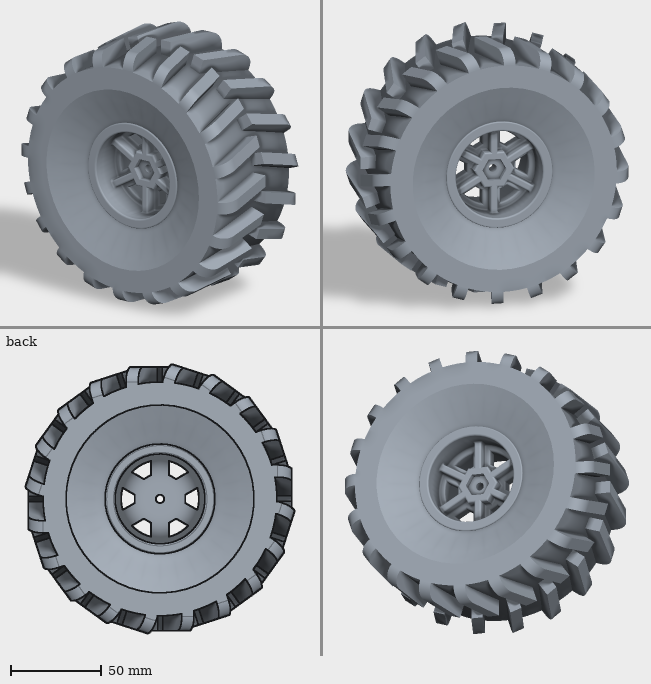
import cadquery as cq
import math

wheel_width = 68.0
half_width = wheel_width / 2

tire_radius = 65.0
mouth_radius = 52.2
lug_count = 20
lug_step = 360 / lug_count
lug_top = 73.3
lug_root = 59.9
lug_width = 6.7
shoulder_radius = 8.2
front_lug_start = -8.1
front_lug_sweep = 8.2
rear_lug_start = 1.6
rear_lug_sweep = 10.5

rim_radius = 30.5
bore_radius = 25.0
rim_width = 50.0
half_rim = rim_width / 2
edge_round = 1.0
lip_round = 0.7
recess_edge = half_rim - lip_round

spoke_count = 6
spoke_step = 360 / spoke_count
spoke_width = 4.0
hub_across_flats = 20.0
hub_face = -13.5
web_face = -6.6
web_back = 0.0
socket_across_flats = 12.0
socket_depth = 4.0
axle_hole_radius = 2.2

window_spacing = 10.2
window_inner = 14.0
window_outer = 21.5


def facing_rear(y):
    """Workplane normal to the axle at the given Y; local x is X, local y is -Z, extrusion goes to +Y."""
    return cq.Workplane(cq.Plane(origin=(0, y, 0), xDir=(1, 0, 0), normal=(0, 1, 0)))


def hexagon(plane, across_flats):
    """Hexagon with its corners on the X axis."""
    return plane.polygon(6, across_flats / math.cos(math.pi / 6))


def spin(shape, angle):
    """Turn a shape about the wheel axle."""
    return shape.rotate((0, 0, 0), (0, 1, 0), angle)


def carcass():
    """Ring with a conical recess in both sides and a plain seat for the rim."""
    outline = [
        (rim_radius, -recess_edge),
        (mouth_radius, -half_width),
        (tire_radius, -half_width),
        (tire_radius, half_width),
        (mouth_radius, half_width),
        (rim_radius, recess_edge),
    ]
    return cq.Workplane("XY").polyline(outline).close().revolve(360, (0, 0, 0), (0, 1, 0))


def lug(start, sweep, side_y):
    """Slanted bar from the middle plane to one side wall, with its outer end rounded over."""
    outline = [
        (start, 0),
        (start + lug_width, 0),
        (start + lug_width + sweep, side_y),
        (start + sweep, side_y),
    ]
    bar = cq.Workplane("XY").workplane(offset=lug_root).polyline(outline).close().extrude(lug_top - lug_root)
    outer_end = "<Y" if side_y < 0 else ">Y"
    return bar.faces(outer_end).edges(">Z").fillet(shoulder_radius)


def make_tire():
    front_lug = lug(front_lug_start, front_lug_sweep, -half_width)
    rear_lug = lug(rear_lug_start, rear_lug_sweep, half_width)
    lugs = []
    for i in range(lug_count):
        angle = i * lug_step
        lugs.append(spin(front_lug, angle).val())
        lugs.append(spin(rear_lug, angle).val())
    return cq.Workplane(carcass().val().fuse(*lugs)).clean()


def barrel():
    """Outer tube of the rim with rounded lips."""
    tube = facing_rear(-half_rim).circle(rim_radius).circle(bore_radius).extrude(rim_width)
    tube = tube.faces("<Y or >Y").edges(cq.selectors.RadiusNthSelector(-1)).fillet(lip_round)
    return tube.faces("<Y or >Y").edges(cq.selectors.RadiusNthSelector(0)).fillet(edge_round)


def web_and_spokes():
    """Disc carrying the hexagonal hub and the spokes, reaching out to the barrel."""
    overlap_radius = (bore_radius + rim_radius) / 2
    body = facing_rear(web_face).circle(overlap_radius).extrude(web_back - web_face)
    rib_height = web_face - hub_face
    body = body.union(hexagon(facing_rear(hub_face), hub_across_flats).extrude(rib_height))
    spoke = facing_rear(hub_face).center(0, -overlap_radius / 2).rect(spoke_width, overlap_radius)
    spoke = spoke.extrude(rib_height)
    for i in range(spoke_count):
        body = body.union(spin(spoke, i * spoke_step))
    return body


def window():
    """Opening between two spokes, centred on the X axis."""
    half_step = math.radians(spoke_step / 2)
    half_gap = window_spacing / 2
    inner_half = window_inner * math.tan(half_step) - half_gap / math.cos(half_step)
    corner_angle = half_step - math.asin(half_gap / window_outer)
    corner_x = window_outer * math.cos(corner_angle)
    corner_y = window_outer * math.sin(corner_angle)
    return (
        facing_rear(web_face)
        .moveTo(window_inner, -inner_half)
        .lineTo(corner_x, -corner_y)
        .threePointArc((window_outer, 0), (corner_x, corner_y))
        .lineTo(window_inner, inner_half)
        .close()
        .extrude(web_back - web_face)
    )


def edges_between(rim, radius, front, back):
    """Edges of the rim that lie inside a box reaching `radius` from the axle and from front to back in Y."""
    box = cq.selectors.BoxSelector((-radius, front, -radius), (radius, back, radius), boundingbox=True)
    return rim.edges(box)


def round_web_side(rim):
    """Round the front rims of hub and spokes, their roots, the spoke ends and the window mouths."""
    reach = bore_radius + edge_round
    margin = edge_round / 2
    tops = edges_between(rim, reach, hub_face - margin, hub_face + margin)
    roots = edges_between(rim, reach, web_face - margin, web_face + margin)
    uprights = edges_between(rim, reach, hub_face - margin, web_face + margin).edges("|Y")
    spoke_ends = [edge for edge in uprights.vals() if math.hypot(edge.Center().x, edge.Center().z) > window_outer]
    return rim.newObject(tops.vals() + roots.vals() + spoke_ends).fillet(edge_round)


def make_rim():
    rim = barrel().union(web_and_spokes())
    for i in range(spoke_count):
        rim = rim.cut(spin(window(), i * spoke_step))
    rim = round_web_side(rim)
    rim = rim.cut(hexagon(facing_rear(hub_face), socket_across_flats).extrude(socket_depth))
    return rim.cut(facing_rear(hub_face).circle(axle_hole_radius).extrude(web_back - hub_face))


tire = make_tire()
rim = make_rim()
result = cq.Compound.makeCompound([*tire.solids().vals(), *rim.solids().vals()])